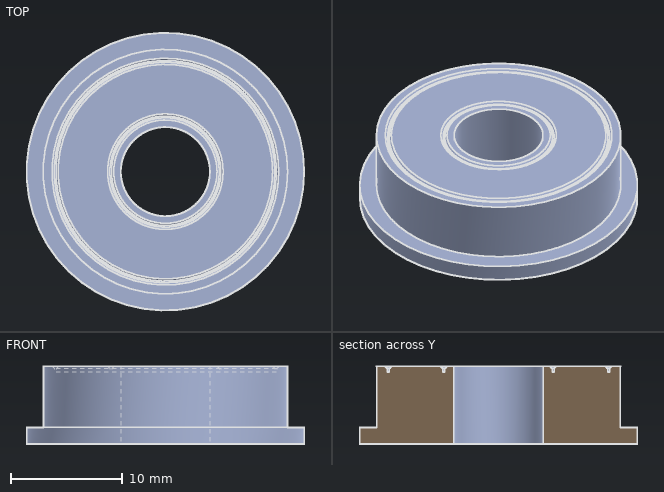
import cadquery as cq

flange_diameter = 25
flange_thickness = 1.5
body_diameter = 22
bore_diameter = 8
height = 7

groove_outer_diameters = (10, 20)
groove_width = 0.15
groove_depth = 0.5
groove_chamfer = 0.2


def make_body():
    """Stepped outer ring with a plain through bore."""
    flange = cq.Workplane("XY").circle(flange_diameter / 2).extrude(flange_thickness)
    barrel = cq.Workplane("XY").circle(body_diameter / 2).extrude(height)
    bore = cq.Workplane("XY").circle(bore_diameter / 2).extrude(height)
    return flange.union(barrel).cut(bore)


def make_groove(outer_diameter):
    """Narrow ring groove in the top face, with both rims chamfered."""
    outer_radius = outer_diameter / 2
    inner_radius = outer_radius - groove_width
    floor_z = height - groove_depth
    chamfer_z = height - groove_chamfer
    profile = [
        (inner_radius, floor_z),
        (outer_radius, floor_z),
        (outer_radius, chamfer_z),
        (outer_radius + groove_chamfer, height),
        (inner_radius - groove_chamfer, height),
        (inner_radius, chamfer_z),
    ]
    return cq.Workplane("XZ").polyline(profile).close().revolve(360, (0, 0, 0), (0, 1, 0))


result = make_body()
for diameter in groove_outer_diameters:
    result = result.cut(make_groove(diameter))